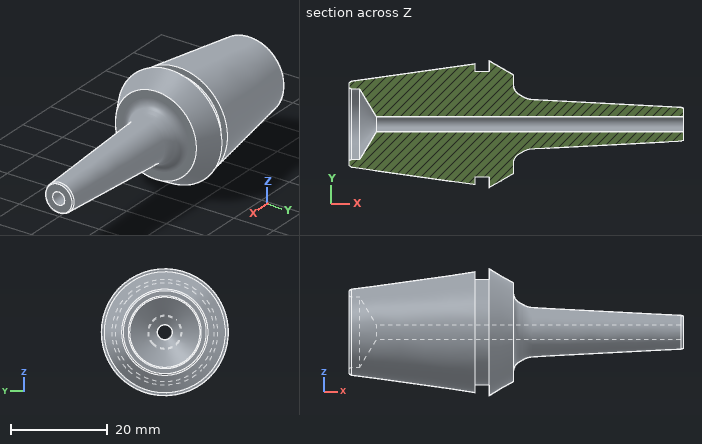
import cadquery as cq
import math

total_length = 69.0
body_end = 26.0
collar_start = 28.9
collar_end = 33.95
neck_cone_start = 35.1
neck_cone_end = 35.95
shank_start = 37.8

collar_radius = 13.1
body_end_radius = 12.5
groove_radius = 10.9
shank_tip_radius = 3.5
body_taper = math.radians(8)
collar_taper = math.radians(30)
neck_taper = math.radians(30)
shank_taper = math.radians(3)

mouth_edge = 0.5
mouth_edge_drop = 0.35
tip_edge = 0.5
tip_edge_drop = 0.2

through_hole_radius = 1.5
bore_radius = 7.25
bore_depth = 2.2
bore_mouth_chamfer = 0.3
bore_mouth_chamfer_depth = 0.5
funnel_half_angle = math.radians(59)


def make_outside():
    """Revolve the tapered body, groove, collar, neck and shank about X."""
    body_start_radius = body_end_radius - (body_end - mouth_edge) * math.tan(body_taper)
    collar_end_radius = collar_radius - (collar_end - collar_start) * math.tan(collar_taper)
    shank_end = total_length - tip_edge
    shank_start_radius = shank_tip_radius + (shank_end - shank_start) * math.tan(shank_taper)

    shank_blend_radius = (shank_start - neck_cone_end) / (math.sin(neck_taper) - math.sin(shank_taper))
    shank_blend_drop = shank_blend_radius * (math.cos(shank_taper) - math.cos(neck_taper))
    neck_cone_end_radius = shank_start_radius + shank_blend_drop
    neck_cone_drop = (neck_cone_end - neck_cone_start) * math.tan(neck_taper)
    neck_cone_start_radius = neck_cone_end_radius + neck_cone_drop
    collar_blend_radius = (neck_cone_start - collar_end) / (1 - math.sin(neck_taper))
    neck_base_radius = neck_cone_start_radius + collar_blend_radius * math.cos(neck_taper)

    profile = (
        cq.Workplane("XY")
        .moveTo(0, 0)
        .lineTo(0, body_start_radius - mouth_edge_drop)
        .lineTo(mouth_edge, body_start_radius)
        .lineTo(body_end, body_end_radius)
        .lineTo(body_end, groove_radius)
        .lineTo(collar_start, groove_radius)
        .lineTo(collar_start, collar_radius)
        .lineTo(collar_end, collar_end_radius)
        .lineTo(collar_end, neck_base_radius)
        .tangentArcPoint((neck_cone_start, neck_cone_start_radius), relative=False)
        .lineTo(neck_cone_end, neck_cone_end_radius)
        .tangentArcPoint((shank_start, shank_start_radius), relative=False)
        .lineTo(shank_end, shank_tip_radius)
        .lineTo(total_length, shank_tip_radius - tip_edge_drop)
        .lineTo(total_length, 0)
        .close()
    )
    return profile.revolve(360, (0, 0, 0), (1, 0, 0))


def make_bore():
    """Revolve the chamfered bore, its conical floor and the through hole about X."""
    funnel_length = (bore_radius - through_hole_radius) / math.tan(funnel_half_angle)
    profile = (
        cq.Workplane("XY")
        .moveTo(0, 0)
        .lineTo(0, bore_radius + bore_mouth_chamfer)
        .lineTo(bore_mouth_chamfer_depth, bore_radius)
        .lineTo(bore_depth, bore_radius)
        .lineTo(bore_depth + funnel_length, through_hole_radius)
        .lineTo(total_length, through_hole_radius)
        .lineTo(total_length, 0)
        .close()
    )
    return profile.revolve(360, (0, 0, 0), (1, 0, 0))


result = make_outside().cut(make_bore())